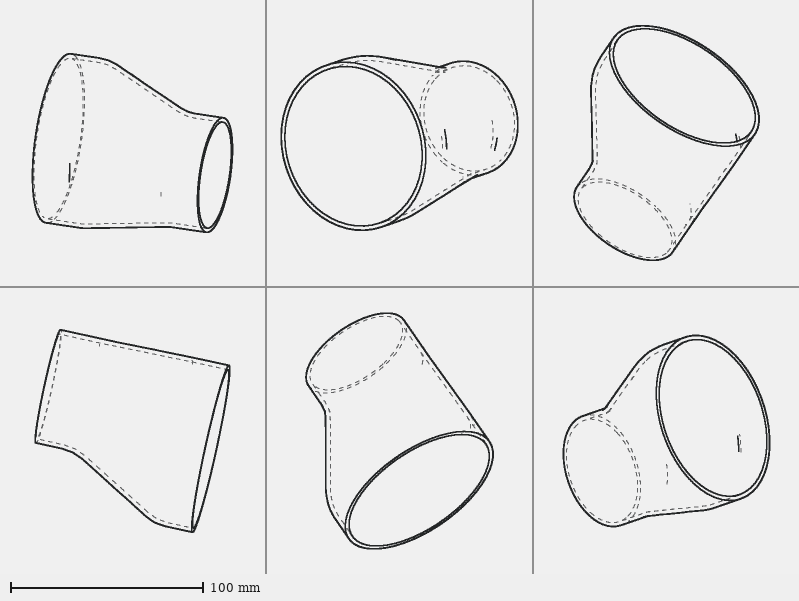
import cadquery as cq
import math

LENGTH = 90.0
LARGE_DIAMETER = 88.9
LARGE_BORE = 84.3
SMALL_DIAMETER = 60.3
CONE_ANGLE = 30.0
BEND_RADIUS = 22.95
RUNOUT = 0.02

wall = (LARGE_DIAMETER - LARGE_BORE) / 2
cone_slope = math.radians(CONE_ANGLE)
cone_length = (LARGE_DIAMETER - SMALL_DIAMETER) / math.tan(cone_slope)
cone_start = (LENGTH - cone_length) / 2

small_axis_y = (SMALL_DIAMETER - LARGE_DIAMETER) / 2 + RUNOUT


def pipe(x_start, x_end, axis_y, radius):
    """Solid cylinder along X between two stations."""
    return cq.Workplane("YZ", origin=(x_start, axis_y, 0)).circle(radius).extrude(x_end - x_start)


def oblique_cone(x_start, x_end, large_radius, small_radius):
    """Cone whose small end is shifted sideways to the small end axis."""
    along_x = cq.Vector(1, 0, 0)
    large_circle = cq.Wire.makeCircle(large_radius, cq.Vector(x_start, 0, 0), along_x)
    small_circle = cq.Wire.makeCircle(small_radius, cq.Vector(x_end, small_axis_y, 0), along_x)
    return cq.Workplane(cq.Solid.makeLoft([large_circle, small_circle], True))


def round_bend(body, x_bend, axis_y, bend_radius):
    """Round the circular edge where a pipe end meets the cone."""
    near_bend = cq.selectors.NearestToPointSelector((x_bend, axis_y, 0))
    return body.edges("%CIRCLE").edges(near_bend).fillet(bend_radius)


def reducer_body(inset):
    """Solid reducer whose surface lies the given distance inside the outer skin."""
    large_radius = LARGE_DIAMETER / 2 - inset
    small_radius = SMALL_DIAMETER / 2 - inset
    x_large = cone_start - inset * math.tan(cone_slope / 2)
    x_small = x_large + cone_length

    body = pipe(0, x_large, 0, large_radius)
    body = body.union(oblique_cone(x_large, x_small, large_radius, small_radius))
    body = body.union(pipe(x_small, LENGTH, small_axis_y, small_radius))

    body = round_bend(body, x_large, 0, BEND_RADIUS - inset)
    return round_bend(body, x_small, small_axis_y, BEND_RADIUS + inset)


outer_body = reducer_body(0)
inner_body = reducer_body(wall)
result = outer_body.cut(inner_body)